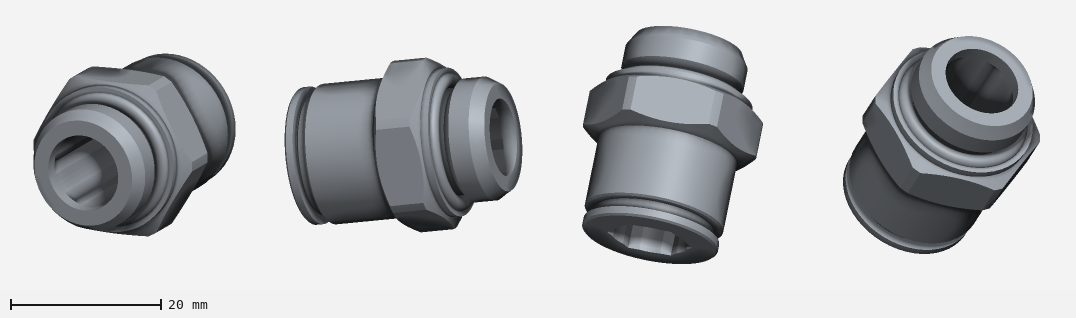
import cadquery as cq
import math

LENGTH = 27.75

TIP_RADIUS = 7.25
THREAD_RADIUS = 8.3
TIP_CHAMFER_END = 1.83
THREAD_END = 4.72
UNDERCUT_START = 5.8
UNDERCUT_RADIUS = 7.15

RING_SECTION_RADIUS = 1.0
RING_OUTER_RADIUS = 9.25
RING_CENTER_Y = 7.1
COLLAR_START = 7.0
COLLAR_RADIUS = 9.97
HEX_START = 8.02

HEX_ACROSS_FLATS = 21.0
HEX_CORNER_RADIUS = 11.755
HEX_BEVEL_ANGLE = 30.0
HEX_FULL_START = 8.97
HEX_FULL_END = 13.7

SLEEVE_RADIUS = 9.4
SLEEVE_END = 24.95
EDGE_CHAMFER = 0.28
STEM_RADIUS = 8.1
STEM_END = 26.4
STEM_CHAMFER = 0.22
FLANGE_START = 26.5
FLANGE_RADIUS = 9.22

BORE_RADIUS = 5.2
SOCKET_ACROSS_FLATS = 10.0
SOCKET_START = 1.95


def revolve_profile(outline):
    """Revolve a list of (radius, y) points, closed along the axis."""
    points = [(0, outline[0][1])] + outline + [(0, outline[-1][1])]
    return cq.Workplane("XY").polyline(points).close().revolve(360, (0, 0), (0, 1))


def hex_prism(across_flats, start, end):
    """Hexagonal prism along Y with two corners on the X axis."""
    across_corners = across_flats / math.cos(math.radians(30))
    plane = cq.Workplane("XZ", origin=(0, start, 0))
    return plane.polygon(6, across_corners).extrude(start - end)


def threaded_end():
    return revolve_profile([
        (TIP_RADIUS, 0),
        (THREAD_RADIUS, TIP_CHAMFER_END),
        (THREAD_RADIUS, THREAD_END),
        (UNDERCUT_RADIUS, UNDERCUT_START),
        (UNDERCUT_RADIUS, COLLAR_START),
        (COLLAR_RADIUS, COLLAR_START),
        (COLLAR_RADIUS, HEX_START),
    ])


def sealing_ring():
    section = cq.Workplane("XY").center(RING_OUTER_RADIUS - RING_SECTION_RADIUS, RING_CENTER_Y)
    axis_x = RING_SECTION_RADIUS - RING_OUTER_RADIUS
    return section.circle(RING_SECTION_RADIUS).revolve(360, (axis_x, 0), (axis_x, 1))


def bevelled_hexagon():
    bevel_slope = math.tan(math.radians(HEX_BEVEL_ANGLE))
    start_radius = HEX_CORNER_RADIUS - (HEX_FULL_START - HEX_START) / bevel_slope
    hex_end = HEX_FULL_END + (HEX_CORNER_RADIUS - SLEEVE_RADIUS) * bevel_slope
    envelope = revolve_profile([
        (start_radius, HEX_START),
        (HEX_CORNER_RADIUS, HEX_FULL_START),
        (HEX_CORNER_RADIUS, HEX_FULL_END),
        (SLEEVE_RADIUS, hex_end),
    ])
    return hex_prism(HEX_ACROSS_FLATS, HEX_START, hex_end).intersect(envelope)


def sleeve_and_release_collar():
    groove_radius = STEM_RADIUS - STEM_CHAMFER
    return revolve_profile([
        (SLEEVE_RADIUS, HEX_FULL_END),
        (SLEEVE_RADIUS, SLEEVE_END - EDGE_CHAMFER),
        (SLEEVE_RADIUS - EDGE_CHAMFER, SLEEVE_END),
        (STEM_RADIUS, SLEEVE_END),
        (STEM_RADIUS, STEM_END - STEM_CHAMFER),
        (groove_radius, STEM_END),
        (groove_radius, FLANGE_START),
        (FLANGE_RADIUS, FLANGE_START),
        (FLANGE_RADIUS, LENGTH - EDGE_CHAMFER),
        (FLANGE_RADIUS - EDGE_CHAMFER, LENGTH),
    ])


def passage():
    """Round bore whose wall is notched by the corners of a hexagonal socket."""
    bore = cq.Workplane("XZ").circle(BORE_RADIUS).extrude(-LENGTH)
    return bore.union(hex_prism(SOCKET_ACROSS_FLATS, SOCKET_START, LENGTH))


body = threaded_end().union(sealing_ring()).union(bevelled_hexagon())
body = body.union(sleeve_and_release_collar()).cut(passage())

result = body.translate((0, -LENGTH / 2, 0))